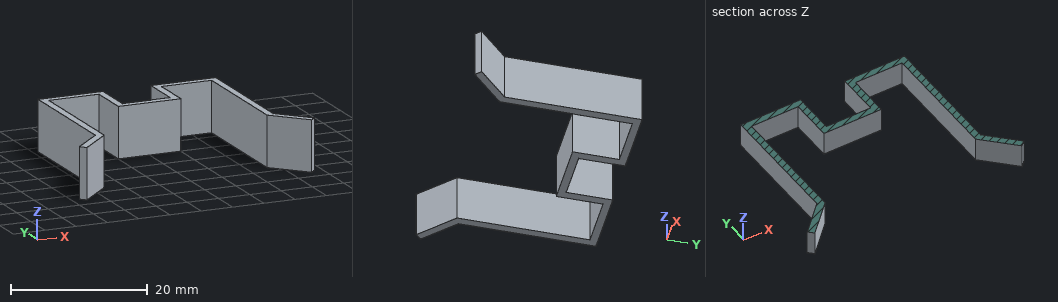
import cadquery as cq
import math

overall_width = 37.6
overall_depth = 26.15
strip_height = 8.0
thickness = 1.2

body_width = 28.43
channel_width = 10.0
channel_depth = 8.25
flare_angle = 45.0

flare = math.radians(flare_angle)
tip_dx = thickness * math.cos(flare)
tip_dy = thickness * math.sin(flare)
half_width = overall_width / 2
half_body = body_width / 2
half_channel = channel_width / 2

outer_tip_y = tip_dy - overall_depth
outer_bend_y = outer_tip_y + (half_width - half_body) / math.tan(flare)
inner_bend_y = outer_bend_y - thickness * math.tan(flare / 2)

half_outline = [
    (0, -channel_depth),
    (half_channel, -channel_depth),
    (half_channel, -thickness),
    (half_body - thickness, -thickness),
    (half_body - thickness, inner_bend_y),
    (half_width - tip_dx, -overall_depth),
    (half_width, outer_tip_y),
    (half_body, outer_bend_y),
    (half_body, 0),
    (half_channel - thickness, 0),
    (half_channel - thickness, thickness - channel_depth),
    (0, thickness - channel_depth),
]

half_clip = cq.Workplane("XY").polyline(half_outline).close().extrude(strip_height)
result = half_clip.union(half_clip.mirror("YZ")).clean()